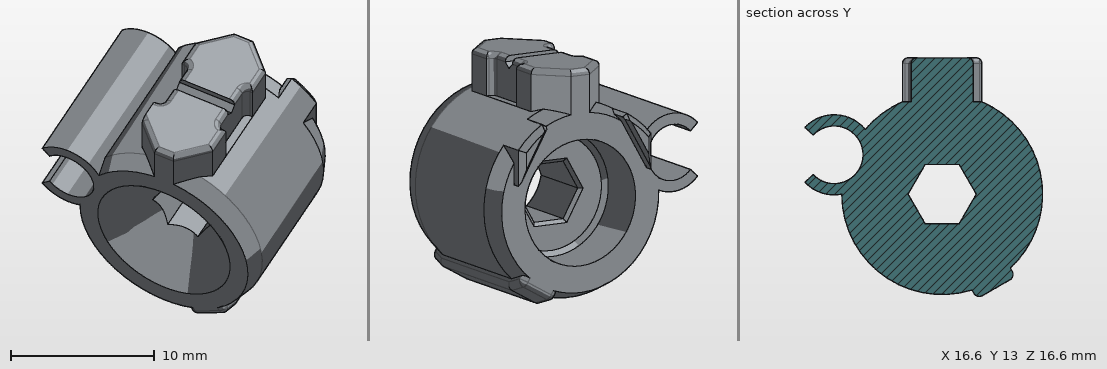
import cadquery as cq
import math

length = 12.0
barrel_radius = 7.0
front_radius = 6.6
back_radius = 6.4
end_taper = 1.4

hex_flats = 4.1
hex_mouth_flats = 4.6
hex_bevel = 0.25
countersink_radius = 5.2
recess_radius = 4.5
recess_floor_radius = 4.15
recess_depth = 4.0

clip_distance = 8.0
clip_angle = 160.0
clip_inner_radius = 2.0
clip_outer_radius = 2.8
clip_gap_half_angle = 43.0

block_top = 9.5
block_base = 5.8
block_height = block_top - block_base
block_half_width = 2.77
block_corner = 2.02
block_round = 0.42
side_groove_length = 4.0
side_groove_depth = 0.6
side_groove_bottom = 6.44
notch_half_width = 0.48
notch_wall = 0.42
notch_vee = 0.38

rib_angle = -60.0
rib_half_width = 1.55
rib_root = 5.8
rib_reach = 7.53
rib_front_reach = rib_reach - (barrel_radius - front_radius)
rib_back_reach = rib_reach - (barrel_radius - back_radius)
rib_round = 0.45

prong_tip = length + 1.0
prong_root = length - end_taper
prong_bevel = 0.42
prong_inner_bevel = 0.25
prong_angle = 30.0
prong_inner = 5.62
prong_side = 3.54
prong_outer_x = 5.4


def along_y(start):
    """Workplane at Y = start with local axes X and Z; a negative extrusion runs toward +Y."""
    return cq.Workplane("XZ", origin=(0, start, 0))


def hex_across_corners(flats):
    return flats / math.cos(math.radians(30))


def make_barrel():
    profile = [
        (0, 0),
        (front_radius, 0),
        (barrel_radius, end_taper),
        (barrel_radius, length - end_taper),
        (back_radius, length),
        (0, length),
    ]
    return cq.Workplane("XY").polyline(profile).close().revolve(360, (0, 0), (0, 1))


def make_passage():
    """Front 45 degree countersink, hex through hole and round recess in the back."""
    floor = length - recess_depth
    wall_start = floor + recess_radius - recess_floor_radius
    turned = [
        (0, floor),
        (recess_floor_radius, floor),
        (recess_radius, wall_start),
        (recess_radius, length),
        (0, length),
    ]
    recess = cq.Workplane("XY").polyline(turned).close().revolve(360, (0, 0), (0, 1))
    sink = [(0, 0), (countersink_radius, 0), (0, countersink_radius)]
    countersink = cq.Workplane("XY").polyline(sink).close().revolve(360, (0, 0), (0, 1))
    hex_hole = along_y(0).polygon(6, hex_across_corners(hex_flats)).extrude(-length)
    bevel = (
        along_y(floor - hex_bevel)
        .polygon(6, hex_across_corners(hex_flats))
        .workplane(offset=-hex_bevel)
        .polygon(6, hex_across_corners(hex_mouth_flats))
        .loft(ruled=True)
    )
    return countersink.union(hex_hole).union(bevel).union(recess)


def clip_center():
    angle = math.radians(clip_angle)
    return clip_distance * math.cos(angle), clip_distance * math.sin(angle)


def make_clip():
    return along_y(0).center(*clip_center()).circle(clip_outer_radius).extrude(-length)


def make_clip_opening():
    """Clip bore together with the wedge-shaped gap facing -X."""
    reach = 2 * clip_outer_radius
    half_height = reach * math.tan(math.radians(clip_gap_half_angle))
    bore = along_y(0).center(*clip_center()).circle(clip_inner_radius).extrude(-length)
    gap = (
        along_y(0)
        .center(*clip_center())
        .polyline([(0, 0), (-reach, half_height), (-reach, -half_height)])
        .close()
        .extrude(-length)
    )
    return bore.union(gap)


def octagon_prism():
    end_half_width = block_half_width - block_corner
    right_side = [
        (end_half_width, 0),
        (block_half_width, block_corner),
        (block_half_width, length - block_corner),
        (end_half_width, length),
    ]
    left_side = [(-x, y) for x, y in reversed(right_side)]
    return (
        cq.Workplane("XY", origin=(0, 0, block_base))
        .polyline(right_side + left_side)
        .close()
        .extrude(block_height)
    )


def make_rounded_octagon():
    """Octagon with a rounded top rim, except that the front of its left edge stays sharp."""
    rounded = octagon_prism().faces(">Z").edges().fillet(block_round)
    sharp_left = octagon_prism().faces(">Z").edges("not <X").fillet(block_round)
    front_left = (
        cq.Workplane("XY", origin=(-block_half_width, 0, block_base))
        .rect(block_half_width, length / 2, centered=False)
        .extrude(block_height)
    )
    return rounded.union(sharp_left.intersect(front_left))


def make_side_groove(side):
    """Cutter for one groove, with rounded inner corners and a flared top rim.

    It also shaves the barrel flat at the foot of the groove. The flare is the part
    of an oversize slab lost when the groove's rim in it is rounded.
    """
    margin = 2.0
    depth = block_top - side_groove_bottom
    floor_x = block_half_width - side_groove_depth
    outer_x = block_half_width + margin
    slab = (
        cq.Workplane("XY", origin=(0, length / 2, side_groove_bottom))
        .rect(2 * outer_x, length)
        .extrude(depth)
    )
    tool_width = side_groove_depth + 2 * margin
    groove = (
        cq.Workplane("XY", origin=(side * (floor_x + tool_width / 2), length / 2, side_groove_bottom))
        .rect(tool_width, side_groove_length)
        .extrude(depth)
        .edges("|Z")
        .fillet(block_round)
    )
    tolerance = 0.1
    rim = cq.selectors.BoxSelector(
        (side * (floor_x - tolerance), tolerance, block_top - tolerance),
        (side * (outer_x - tolerance), length - tolerance, block_top + tolerance),
    )
    return slab.cut(slab.cut(groove).edges(rim).fillet(block_round))


def make_notch():
    return (
        cq.Workplane("YZ", origin=(-block_half_width, length / 2, block_top))
        .polyline([
            (-notch_half_width, 0),
            (-notch_half_width, -notch_wall),
            (0, -notch_wall - notch_vee),
            (notch_half_width, -notch_wall),
            (notch_half_width, 0),
        ])
        .close()
        .extrude(2 * block_half_width)
    )


def make_block():
    return make_rounded_octagon().cut(make_notch())


def make_rib():
    """Rounded rib following the tapered barrel ends, built along +X and turned into place."""
    profile = [
        (rib_root, 0),
        (rib_front_reach, 0),
        (rib_reach, end_taper),
        (rib_reach, length - end_taper),
        (rib_back_reach, length),
        (rib_root, length),
    ]
    rib = cq.Workplane("XY").polyline(profile).close().extrude(rib_half_width, both=True)
    rim = rib.faces("<Z or >Z").edges("not <X").vals()
    for end in ("<Y", ">Y"):
        rim += rib.faces(end).edges(">X").vals()
    rib = rib.newObject(rim).fillet(rib_round)
    return rib.rotate((0, 0, 0), (0, 1, 0), -rib_angle)


def make_prong(side):
    """Prong on the right (side 1) or left (side -1), built upright and turned into place."""
    height = prong_tip - prong_root
    box = (
        along_y(prong_root)
        .center(prong_inner, 0)
        .rect(barrel_radius, 2 * prong_side, centered=(False, True))
        .extrude(-height)
    )
    limit = (
        along_y(prong_root)
        .rect(2 * prong_outer_x, 4 * barrel_radius)
        .extrude(-height)
        .rotate((0, 0, 0), (0, 1, 0), prong_angle)
    )
    prong = box.intersect(limit).faces(">Y").edges("not <X").chamfer(prong_bevel)
    inner_bevel = (
        cq.Workplane("XY")
        .polyline([
            (prong_inner, prong_tip - prong_inner_bevel),
            (prong_inner + prong_inner_bevel, prong_tip),
            (prong_inner, prong_tip),
        ])
        .close()
        .extrude(barrel_radius, both=True)
    )
    prong = prong.cut(inner_bevel).rotate((0, 0, 0), (0, 1, 0), -prong_angle)
    if side < 0:
        prong = prong.mirror("YZ")
    envelope = along_y(prong_root).circle(barrel_radius).extrude(-height)
    envelope = envelope.faces(">Y").chamfer(prong_bevel)
    return prong.intersect(envelope)


additions = [make_clip(), make_block(), make_rib(), make_prong(1), make_prong(-1)]
removals = [make_side_groove(1), make_side_groove(-1), make_passage(), make_clip_opening()]

result = make_barrel()
for addition in additions:
    result = result.union(addition)
for removal in removals:
    result = result.cut(removal)